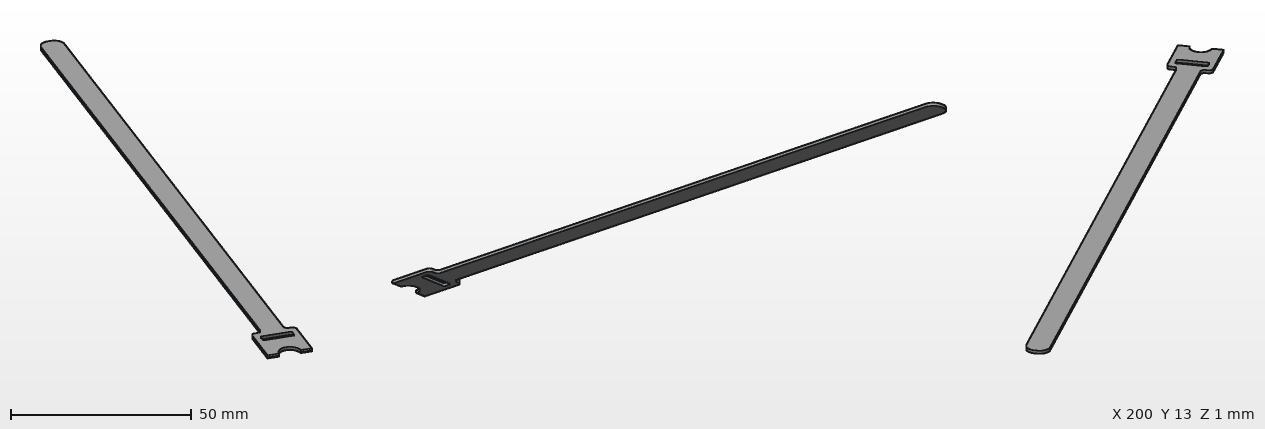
import cadquery as cq

length = 200.0
thickness = 1.0
strap_width = 6.8
strap_tip_radius = 3.0
head_width = 13.0
head_length = 14.2
shoulder_radius = 1.2
slot_length = 2.4
slot_width = 9.2
slot_setback = 2.4
notch_radius = 3.2
notch_depth = 3.4
slot_corner_radius = 0.4
end_chamfer = 0.4

strap_start = -length / 2
head_end = length / 2
head_start = head_end - head_length


def make_plate(x_start, x_end, width):
    """Flat plate between two X positions, centred in Y and Z."""
    return cq.Workplane("XY").box(x_end - x_start, width, thickness).translate(((x_start + x_end) / 2, 0, 0))


def make_strap():
    """Long strap with a rounded tip, ending inside the head."""
    strap = make_plate(strap_start, head_start + slot_setback / 2, strap_width)
    return strap.edges("|Z and <X").fillet(strap_tip_radius)


def make_head():
    """Wide rectangular head with its upper and lower end edges chamfered."""
    head = make_plate(head_start, head_end, head_width)
    return head.faces(">X").edges("|Y").chamfer(end_chamfer)


def select_shoulder_edges(body):
    """Vertical edges where the head widens from the strap."""
    margin = shoulder_radius / 2
    box = cq.selectors.BoxSelector(
        (head_start - margin, -head_width, -thickness),
        (head_start + margin, head_width, thickness),
    )
    return body.edges("|Z").edges(box)


body = make_strap().union(make_head())
body = select_shoulder_edges(body).fillet(shoulder_radius)

slot_start = head_start + slot_setback
slot = make_plate(slot_start, slot_start + slot_length, slot_width).edges("|Z").fillet(slot_corner_radius)

notch_center = head_end - notch_depth + notch_radius
notch = cq.Workplane("XY").center(notch_center, 0).circle(notch_radius).extrude(thickness, both=True)

result = body.cut(slot).cut(notch)